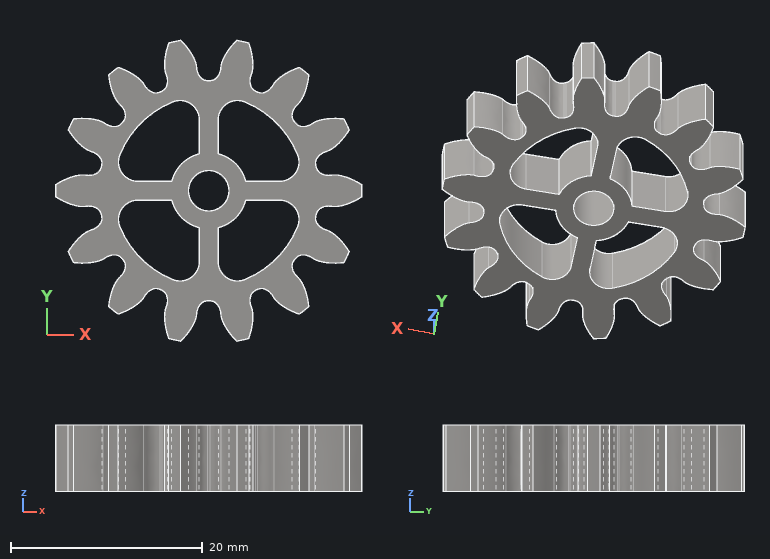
import cadquery as cq
import math

TOOTH_COUNT = 14
MODULE = 2.0
PRESSURE_ANGLE = math.radians(20)
FACE_WIDTH = 7.0
ADDENDUM = MODULE
DEDENDUM = 1.25 * MODULE
CUTTER_TIP_RADIUS = 0.38 * MODULE

BORE_DIAMETER = 4.2
HUB_DIAMETER = 8.0
RIM_INNER_DIAMETER = 20.0
SPOKE_COUNT = 4
SPOKE_WIDTH = 2.0
WINDOW_CORNER_RADIUS = 2.0

PITCH_RADIUS = MODULE * TOOTH_COUNT / 2
BASE_RADIUS = PITCH_RADIUS * math.cos(PRESSURE_ANGLE)
TIP_RADIUS = PITCH_RADIUS + ADDENDUM
ROOT_RADIUS = PITCH_RADIUS - DEDENDUM
PITCH_ANGLE = 2 * math.pi / TOOTH_COUNT

CUTTER_CENTRE_DEPTH = DEDENDUM - CUTTER_TIP_RADIUS
CUTTER_CENTRE_OFFSET = (
    math.pi * MODULE / 4
    - DEDENDUM * math.tan(PRESSURE_ANGLE)
    - CUTTER_TIP_RADIUS * math.tan(math.pi / 4 - PRESSURE_ANGLE / 2)
)

CURVE_STEPS = 8
BISECTION_STEPS = 40


def polar(radius, angle):
    return (radius * math.cos(angle), radius * math.sin(angle))


def involute_function(angle):
    return math.tan(angle) - angle


def flank_gap_angle(radius):
    """Half angle of the tooth gap between the involute flanks at a radius."""
    roll = math.acos(BASE_RADIUS / radius)
    return PITCH_ANGLE / 4 + involute_function(roll) - involute_function(PRESSURE_ANGLE)


def root_fillet_point(slide):
    """Radius and half gap angle of the root trochoid cut by the rounded rack tip.

    slide is the tangential distance from the pitch point to the rounding centre.
    """
    reach = math.hypot(slide, CUTTER_CENTRE_DEPTH)
    stretch = 1 + CUTTER_TIP_RADIUS / reach
    across = slide * stretch
    outward = PITCH_RADIUS - CUTTER_CENTRE_DEPTH * stretch
    rotation = (slide - CUTTER_CENTRE_OFFSET) / PITCH_RADIUS
    return math.hypot(across, outward), math.atan2(across, outward) - rotation


def fillet_end_slide():
    """Slide at which the root trochoid meets the involute flank."""
    low = 0.0
    high = CUTTER_CENTRE_DEPTH / math.tan(PRESSURE_ANGLE)
    for _ in range(BISECTION_STEPS):
        middle = (low + high) / 2
        radius, gap_angle = root_fillet_point(middle)
        if radius < BASE_RADIUS or gap_angle < flank_gap_angle(radius):
            low = middle
        else:
            high = middle
    return low


def gap_side():
    """Radius and half gap angle pairs of the root fillet and of the flank, from root to tip."""
    last_slide = fillet_end_slide()
    fillet = [root_fillet_point(last_slide * (i / CURVE_STEPS)) for i in range(CURVE_STEPS + 1)]
    start_radius = fillet[-1][0]
    step = (TIP_RADIUS - start_radius) / CURVE_STEPS
    radii = [start_radius + step * i for i in range(1, CURVE_STEPS + 1)]
    flank = [fillet[-1]] + [(radius, flank_gap_angle(radius)) for radius in radii]
    return fillet, flank


def gap_points(profile, gap_centre, side):
    """Points of a gap side profile; side is -1 before the gap centre and +1 after it."""
    return [polar(radius, gap_centre + side * gap_angle) for radius, gap_angle in profile]


def gear_blank():
    """Toothed disc: each tooth gap runs down flank and fillet, over the root and up again."""
    fillet, flank = gap_side()
    tip_gap_angle = flank[-1][1]
    outline = cq.Workplane("XY").moveTo(*polar(TIP_RADIUS, PITCH_ANGLE / 2 - tip_gap_angle))
    for tooth in range(TOOTH_COUNT):
        gap_centre = PITCH_ANGLE * (tooth + 0.5)
        tip_centre = PITCH_ANGLE * (tooth + 1)
        flank_down = gap_points(flank[::-1], gap_centre, -1)
        fillet_down = gap_points(fillet[::-1], gap_centre, -1)
        fillet_up = gap_points(fillet, gap_centre, 1)
        flank_up = gap_points(flank, gap_centre, 1)
        next_tip_corner = polar(TIP_RADIUS, gap_centre + PITCH_ANGLE - tip_gap_angle)
        outline = (
            outline.spline(flank_down[1:], includeCurrent=True)
            .spline(fillet_down[1:], includeCurrent=True)
            .threePointArc(polar(ROOT_RADIUS, gap_centre), fillet_up[0])
            .spline(fillet_up[1:], includeCurrent=True)
            .spline(flank_up[1:], includeCurrent=True)
            .threePointArc(polar(TIP_RADIUS, tip_centre), next_tip_corner)
        )
    return outline.close().extrude(FACE_WIDTH)


def web_window():
    """Through window in the first quadrant between hub, rim and two spokes."""
    hub_radius = HUB_DIAMETER / 2
    rim_radius = RIM_INNER_DIAMETER / 2
    edge = SPOKE_WIDTH / 2
    hub_reach = math.sqrt(hub_radius**2 - edge**2)
    rim_reach = math.sqrt(rim_radius**2 - edge**2)
    diagonal = math.pi / 4
    return (
        cq.Workplane("XY")
        .moveTo(hub_reach, edge)
        .lineTo(rim_reach, edge)
        .threePointArc(polar(rim_radius, diagonal), (edge, rim_reach))
        .lineTo(edge, hub_reach)
        .threePointArc(polar(hub_radius, diagonal), (hub_reach, edge))
        .close()
        .extrude(FACE_WIDTH)
        .edges("|Z and (>X or >Y)")
        .fillet(WINDOW_CORNER_RADIUS)
    )


def bore():
    return cq.Workplane("XY").circle(BORE_DIAMETER / 2).extrude(FACE_WIDTH)


result = gear_blank().cut(bore())
for spoke in range(SPOKE_COUNT):
    spoke_angle = 360 / SPOKE_COUNT * spoke
    result = result.cut(web_window().rotate((0, 0, 0), (0, 0, 1), spoke_angle))